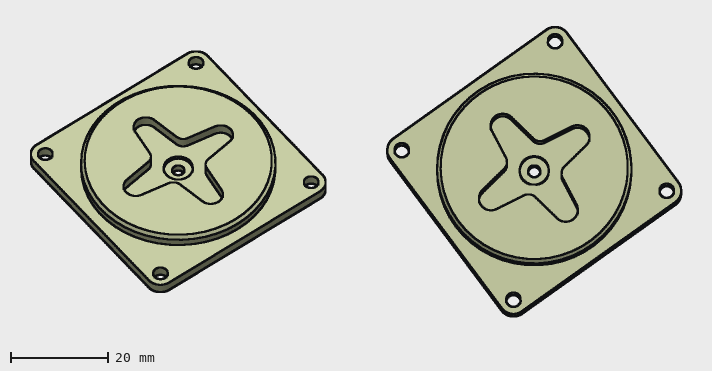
import cadquery as cq
import math

plate_side = 45.0
plate_thickness = 2.5
corner_radius = 3.0
mount_hole_diameter = 3.0
mount_hole_offset = plate_side / 2 - corner_radius

disc_diameter = 40.0
total_height = 5.0
disc_chamfer = 0.75

pocket_depth = 2.5
arm_reach = 13.5
arm_tip_radius = 2.5
arm_taper_angle = math.radians(9.0)
arm_root_fillet = 2.0

counterbore_diameter = 6.0
counterbore_depth = 0.75
center_hole_diameter = 2.5


def make_plate():
    """Base plate with rounded corners and a mounting hole in each corner."""
    plate = cq.Workplane("XY").rect(plate_side, plate_side).extrude(plate_thickness)
    plate = plate.edges("|Z").fillet(corner_radius)
    return (
        plate.faces(">Z")
        .workplane()
        .rect(2 * mount_hole_offset, 2 * mount_hole_offset, forConstruction=True)
        .vertices()
        .hole(mount_hole_diameter)
    )


def make_disc():
    """Raised disc with a chamfered top rim."""
    disc = (
        cq.Workplane("XY")
        .workplane(offset=plate_thickness)
        .circle(disc_diameter / 2)
        .extrude(total_height - plate_thickness)
    )
    return disc.faces(">Z").edges().chamfer(disc_chamfer)


def rotate(point, angle):
    """Point turned about the origin by an angle in radians."""
    x, y = point
    cosine = math.cos(angle)
    sine = math.sin(angle)
    return (x * cosine - y * sine, x * sine + y * cosine)


def make_cross():
    """Solid that fills the cross pocket, from its floor to the top face."""
    tip_center = arm_reach - arm_tip_radius
    sine = math.sin(arm_taper_angle)
    cosine = math.cos(arm_taper_angle)

    flank_end = (tip_center + arm_tip_radius * sine, arm_tip_radius * cosine)
    flank_start = (flank_end[0], -flank_end[1])
    crotch_offset = (arm_tip_radius + tip_center * sine) / (sine + cosine)
    crotch = (crotch_offset, crotch_offset)

    outline = cq.Workplane("XY").workplane(offset=total_height - pocket_depth)
    outline = outline.moveTo(*rotate(crotch, -math.pi / 2))
    for quarter in range(4):
        angle = quarter * math.pi / 2
        outline = (
            outline.lineTo(*rotate(flank_start, angle))
            .threePointArc(rotate((arm_reach, 0), angle), rotate(flank_end, angle))
            .lineTo(*rotate(crotch, angle))
        )
    cross = outline.close().extrude(pocket_depth)

    selector_half = tip_center / 2
    root_edges = cq.selectors.BoxSelector(
        (-selector_half, -selector_half, 0),
        (selector_half, selector_half, total_height),
    )
    return cross.edges("|Z").edges(root_edges).fillet(arm_root_fillet)


def make_center_hole():
    """Through hole with a counterbore sunk into the pocket floor."""
    floor_height = total_height - pocket_depth
    bore = cq.Workplane("XY").circle(center_hole_diameter / 2).extrude(floor_height)
    counterbore = (
        cq.Workplane("XY")
        .workplane(offset=floor_height - counterbore_depth)
        .circle(counterbore_diameter / 2)
        .extrude(counterbore_depth)
    )
    return bore.union(counterbore)


result = make_plate().union(make_disc()).cut(make_cross()).cut(make_center_hole())